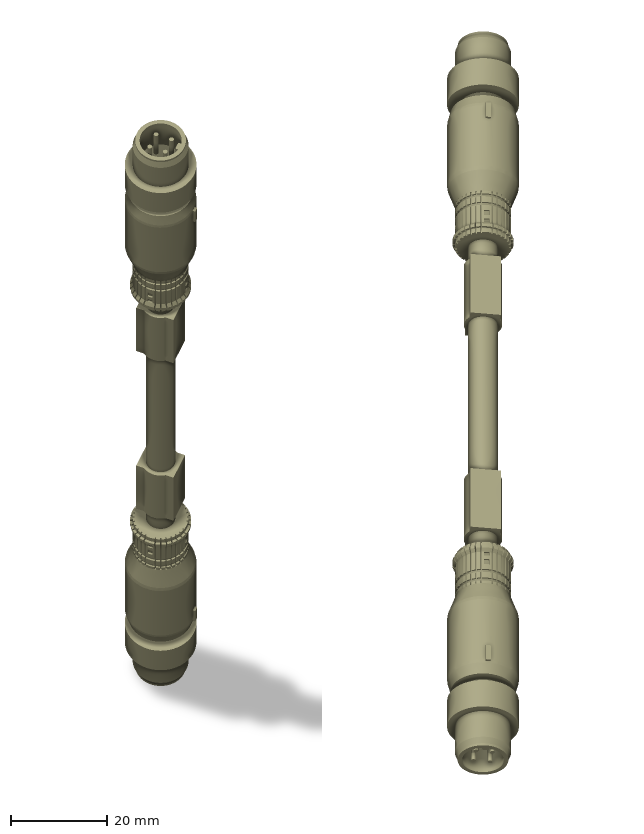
import cadquery as cq
import math

total_length = 182.0
half_length = total_length / 2

nose_radius = 5.8
nose_tip_radius = 5.3
nose_chamfer_start = 0.5
nose_chamfer_end = 1.8
nose_length = 8.4
collar_radius = 7.5
collar_end = 15.1
neck_radius = 4.7
neck_end = 17.3
shell_front_radius = 6.7
shell_radius = 7.5
shell_start = 20.0
shell_end = 36.2
shell_blend_radius = 2.7
selection_margin = 0.2
connector_length = 51.5

grip_start = 41.0
grip_radius = 5.8
grip_core_radius = 5.5
ring_groove_width = 0.7
ring_groove_starts = (41.7, 43.9)
bead_radius = 6.4
bead_start = 49.0
bead_crest = 49.7
bead_end = 50.5
slot_start = 41.0
slot_positions = 32
slot_pitch = 360 / slot_positions
slot_angle = slot_pitch / 4
pad_count = 4
slots_per_side = slot_positions // pad_count
side_angle = 360 / pad_count
window_angle = slot_pitch
window_spans = ((45.9, 47.1), (48.0, 49.0))

bore_radius = 4.4
bore_depth = 7.3
pin_count = 4
pin_radius = 0.5
pin_circle_radius = 2.45
pin_recess = 1.0
key_angle = 45.0
key_width = 1.6
key_height = 0.7

mark_width = 1.1
mark_height = 0.5
mark_length = 3.6

cable_radius = 3.1
sleeve_radius = 4.0
sleeve_flat_width = 6.4
sleeve_depth = 8.4
sleeve_length = 15.0
sleeve_start = 56.2


def ring(radius, start, end):
    """Cylinder between two distances behind the mating face."""
    return cq.Workplane("XY").workplane(offset=half_length - end).circle(radius).extrude(end - start)


def shell_rim(distance):
    """Selects the circular edge at a distance behind the mating face."""
    height = half_length - distance
    return cq.selectors.BoxSelector(
        (-shell_radius, -shell_radius, height - selection_margin),
        (shell_radius, shell_radius, height + selection_margin),
    )


def connector_body():
    outline = [
        (0, 0),
        (nose_tip_radius, 0),
        (nose_tip_radius, nose_chamfer_start),
        (nose_radius, nose_chamfer_end),
        (nose_radius, nose_length),
        (collar_radius, nose_length),
        (collar_radius, collar_end),
        (neck_radius, collar_end),
        (neck_radius, neck_end),
        (shell_front_radius, neck_end),
        (shell_radius, shell_start),
        (shell_radius, shell_end),
        (grip_radius, grip_start),
        (grip_radius, bead_start),
        (bead_radius, bead_crest),
        (bead_radius, bead_end),
        (grip_radius, bead_end),
        (grip_radius, connector_length),
        (0, connector_length),
    ]
    points = [(radius, half_length - distance) for radius, distance in outline]
    body = cq.Workplane("XZ").polyline(points).close().revolve(360, (0, 0, 0), (0, 1, 0))
    return body.edges(shell_rim(shell_start) + shell_rim(shell_end)).fillet(shell_blend_radius)


def sector(direction, angle, start, end):
    """Wedge reaching from the axis past the grip, centred on a direction in degrees."""
    half_angle = math.radians(angle / 2)
    reach = 2 * bead_radius
    far_x = reach * math.cos(half_angle)
    far_y = reach * math.sin(half_angle)
    return (
        cq.Workplane("XY")
        .workplane(offset=half_length - end)
        .polyline([(0, 0), (far_x, -far_y), (far_x, far_y)])
        .close()
        .extrude(end - start)
        .rotate((0, 0, 0), (0, 0, 1), direction)
    )


def grip_grooves():
    """Material removed around the grip: ring grooves, lengthwise slots and windows in the pads."""
    grooves = cq.Workplane("XY")
    for start in ring_groove_starts:
        grooves = grooves.add(ring(2 * bead_radius, start, start + ring_groove_width))
    for side in range(pad_count):
        side_direction = side * side_angle
        for i in range(1, slots_per_side):
            direction = side_direction + (i - slots_per_side / 2) * slot_pitch
            grooves = grooves.add(sector(direction, slot_angle, slot_start, connector_length))
        pad_direction = side_direction + side_angle / 2
        for start, end in window_spans:
            grooves = grooves.add(sector(pad_direction, window_angle, start, end))
    return grooves.combine().cut(ring(grip_core_radius, slot_start, connector_length))


def contact_chamber():
    chamber = ring(bore_radius, 0, bore_depth)
    key = (
        cq.Workplane("XY")
        .workplane(offset=half_length - bore_depth)
        .center(bore_radius, 0)
        .rect(2 * key_height, key_width)
        .extrude(bore_depth)
        .rotate((0, 0, 0), (0, 0, 1), key_angle)
    )
    pins = (
        cq.Workplane("XY")
        .workplane(offset=half_length - bore_depth)
        .polarArray(pin_circle_radius, 0, 360, pin_count)
        .circle(pin_radius)
        .extrude(bore_depth - pin_recess)
    )
    return chamber.cut(key).cut(pins)


def alignment_mark():
    mark_radius = shell_radius + mark_height
    return (
        cq.Workplane("XY")
        .workplane(offset=half_length - shell_start - mark_length)
        .center(mark_radius / 2, 0)
        .rect(mark_radius, mark_width)
        .extrude(mark_length)
        .rotate((0, 0, 0), (0, 0, 1), key_angle)
    )


def label_sleeve():
    bottom = half_length - sleeve_start - sleeve_length
    tube = cq.Workplane("XY").workplane(offset=bottom).circle(sleeve_radius).extrude(sleeve_length)
    block = (
        cq.Workplane("XY")
        .workplane(offset=bottom)
        .rect(sleeve_depth, sleeve_flat_width)
        .extrude(sleeve_length)
    )
    return tube.union(block).rotate((0, 0, 0), (0, 0, 1), key_angle)


cable = cq.Workplane("XY").circle(cable_radius).extrude(half_length - connector_length, both=True)
connector = connector_body().cut(grip_grooves()).union(alignment_mark()).cut(contact_chamber())
upper_half = connector.union(label_sleeve())
lower_half = upper_half.rotate((0, 0, 0), (1, 1, 0), 180)
result = cable.union(upper_half).union(lower_half)